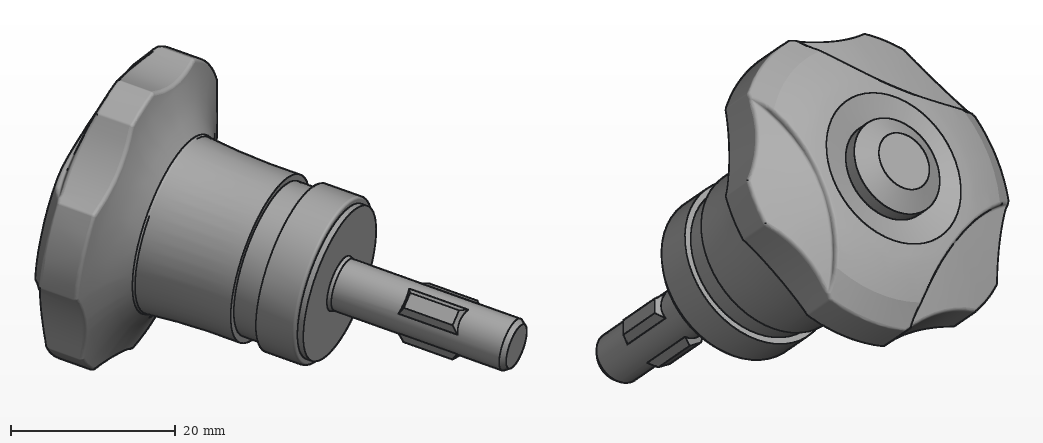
import cadquery as cq
import math


shaft_radius = 3.35
shaft_length = 23.9
shaft_chamfer_length = 0.7
shaft_chamfer_depth = 0.5
root_flare_length = 0.5
root_flare_height = 0.2

lip_radius = 10.0
lip_length = 0.8
collar_radius = 10.85
collar_length = 5.2
collar_fillet = 0.35
groove_radius = 10.0
groove_length = 3.4
sleeve_length = 12.85
sleeve_end_radius = 10.85
sleeve_root_radius = 11.4
sleeve_root_fillet = 0.4
sleeve_waist_radius = 10.9

knob_radius = 20.0
rim_width = 5.0
rear_rise = 3.65
rear_mid_offset = 2.25
rear_mid_radius = 15.4
face_to_rim = 3.6
face_radius = 10.0
dome_seam_radius = 17.0
dome_seam_depth = 1.65
dome_mid_radius = 13.8
dome_mid_depth = 0.6

button_radius = 6.35
button_tip_radius = 3.75
button_rise = 2.2
button_chamfer_length = 1.5
recess_depth = 1.1

lobe_count = 3
narrow_lobe_angle = 3.75
flute_offset_angle = 26.0
flute_half_angle = 17.5
flute_sag = 0.85
grip_fillet = 0.5
scallop_foot_fillet = 0.3
wall_foot_min_length = 25.0
scallop_wall_radius = 31.6
scallop_wall_distance = 11.7
scallop_inner_radius = 10.5
scallop_inner_depth = 0.3
scallop_mid_radius = 15.5
scallop_mid_depth = 1.95
scallop_outer_radius = 20.5
scallop_outer_depth = 3.85

key_count = 3
key_angle = 29.0
key_center_x = 13.35
key_top_length = 6.6
key_top_width = 2.0
key_flank_offset = 0.7
key_flank_height = 1.1
key_top_distance = 4.0

collar_end_x = -lip_length
groove_end_x = collar_end_x - collar_length
sleeve_end_x = groove_end_x - groove_length
sleeve_root_x = sleeve_end_x - sleeve_length
rim_rear_x = sleeve_root_x - rear_rise
rim_front_x = rim_rear_x - rim_width
face_x = rim_front_x - face_to_rim
tip_x = face_x - button_rise
cutter_front_x = tip_x - 1.0


def around_axis(shape, angle):
    """Turn a shape made about +Z around the X axis, from +Z towards -Y."""
    return shape.rotate((0, 0, 0), (1, 0, 0), angle)


def revolve_about_axis(profile):
    """Full turn about X, with the seam placed at -Z, clear of the scallops."""
    return around_axis(profile.revolve(360, (0, 0, 0), (1, 0, 0)), -90)


def make_knob():
    profile = (
        cq.Workplane("XY")
        .moveTo(sleeve_root_x, 0)
        .lineTo(sleeve_root_x, sleeve_root_radius)
        .threePointArc(
            (sleeve_root_x - rear_mid_offset, rear_mid_radius), (rim_rear_x, knob_radius)
        )
        .lineTo(rim_front_x, knob_radius)
        .lineTo(face_x + dome_seam_depth, dome_seam_radius)
        .threePointArc((face_x + dome_mid_depth, dome_mid_radius), (face_x, face_radius))
        .lineTo(face_x, 0)
        .close()
    )
    return revolve_about_axis(profile)


def make_scallop_cutter():
    """Round plug over a narrow lobe, with a domed floor turned about the knob axis."""
    floor_profile = (
        cq.Workplane("XY")
        .moveTo(cutter_front_x, 0)
        .lineTo(face_x + scallop_inner_depth, 0)
        .lineTo(face_x + scallop_inner_depth, scallop_inner_radius)
        .threePointArc(
            (face_x + scallop_mid_depth, scallop_mid_radius),
            (face_x + scallop_outer_depth, scallop_outer_radius),
        )
        .lineTo(cutter_front_x, scallop_outer_radius)
        .close()
    )
    floor_body = revolve_about_axis(floor_profile)
    plug = (
        cq.Workplane("YZ", origin=(cutter_front_x, 0, 0))
        .center(0, scallop_wall_distance + scallop_wall_radius)
        .circle(scallop_wall_radius)
        .extrude(rim_rear_x - cutter_front_x)
    )
    return floor_body.intersect(plug)


def make_flute_cutter():
    half_chord = knob_radius * math.sin(math.radians(flute_half_angle))
    chord_distance = knob_radius * math.cos(math.radians(flute_half_angle))
    flute_radius = (half_chord**2 + flute_sag**2) / (2 * flute_sag)
    center_distance = chord_distance - flute_sag + flute_radius
    return (
        cq.Workplane("YZ", origin=(tip_x, 0, 0))
        .center(0, center_distance)
        .circle(flute_radius)
        .extrude(sleeve_root_x - tip_x)
    )


def cut_grip(knob):
    scallop = make_scallop_cutter()
    flute = make_flute_cutter()
    for index in range(lobe_count):
        lobe_angle = narrow_lobe_angle + index * 360 / lobe_count
        knob = knob.cut(around_axis(scallop, lobe_angle))
    for index in range(lobe_count):
        lobe_angle = narrow_lobe_angle + index * 360 / lobe_count
        for side in (-1, 1):
            knob = knob.cut(around_axis(flute, lobe_angle + side * flute_offset_angle))
    return knob


def fillet_grip_edges(knob):
    """Round the foot of each scallop wall, then every other edge of the rim, flutes and walls.

    These are the only cylinders on the knob, and the wall feet are by far their longest edges.
    """

    def is_wall_foot(edge):
        return edge.Length() > wall_foot_min_length

    def is_outer_edge(edge):
        return not is_wall_foot(edge)

    knob = knob.faces("%CYLINDER").edges().filter(is_wall_foot).fillet(scallop_foot_fillet)
    return knob.faces("%CYLINDER").edges().filter(is_outer_edge).fillet(grip_fillet)


def cut_recess(knob):
    profile = (
        cq.Workplane("XY")
        .moveTo(face_x, 0)
        .lineTo(face_x, face_radius)
        .lineTo(face_x + recess_depth, button_radius)
        .lineTo(face_x + recess_depth, 0)
        .close()
    )
    return knob.cut(revolve_about_axis(profile))


def make_button():
    profile = (
        cq.Workplane("XY")
        .moveTo(sleeve_root_x, 0)
        .lineTo(sleeve_root_x, button_radius)
        .lineTo(tip_x + button_chamfer_length, button_radius)
        .lineTo(tip_x, button_tip_radius)
        .lineTo(tip_x, 0)
        .close()
    )
    return revolve_about_axis(profile)


def make_body():
    """Sleeve, groove, collar and lip between the knob and the shaft."""
    sleeve_mid_x = (sleeve_root_x + sleeve_end_x) / 2
    profile = (
        cq.Workplane("XY")
        .moveTo(sleeve_root_x, 0)
        .lineTo(sleeve_root_x, sleeve_root_radius)
        .threePointArc((sleeve_mid_x, sleeve_waist_radius), (sleeve_end_x, sleeve_end_radius))
        .lineTo(sleeve_end_x, groove_radius)
        .lineTo(groove_end_x, groove_radius)
        .lineTo(groove_end_x, collar_radius)
        .lineTo(collar_end_x - collar_fillet, collar_radius)
        .radiusArc((collar_end_x, collar_radius - collar_fillet), collar_fillet)
        .lineTo(collar_end_x, lip_radius)
        .lineTo(0, lip_radius)
        .lineTo(0, 0)
        .close()
    )
    return revolve_about_axis(profile)


def fillet_sleeve_root(part):
    """Round the concave circle where the sleeve meets the rear of the knob."""
    span = sleeve_root_fillet / 2
    root_circle = cq.selectors.BoxSelector(
        (sleeve_root_x - span, -span, -span), (sleeve_root_x + span, span, span)
    )
    return part.edges(root_circle).fillet(sleeve_root_fillet)


def make_shaft():
    profile = (
        cq.Workplane("XY")
        .lineTo(0, shaft_radius + root_flare_height)
        .lineTo(root_flare_length, shaft_radius)
        .lineTo(shaft_length - shaft_chamfer_length, shaft_radius)
        .lineTo(shaft_length, shaft_radius - shaft_chamfer_depth)
        .lineTo(shaft_length, 0)
        .close()
    )
    return revolve_about_axis(profile)


def make_key():
    """Block with four sloping flanks that stands on the shaft at +Z."""
    return (
        cq.Workplane("XY", origin=(key_center_x, 0, key_top_distance - key_flank_height))
        .rect(key_top_length + 2 * key_flank_offset, key_top_width + 2 * key_flank_offset)
        .workplane(offset=key_flank_height)
        .rect(key_top_length, key_top_width)
        .loft(ruled=True)
    )


def add_keys(part):
    key = make_key()
    for index in range(key_count):
        part = part.union(around_axis(key, key_angle + index * 360 / key_count))
    return part


knob = cut_recess(fillet_grip_edges(cut_grip(make_knob())))
grip = fillet_sleeve_root(knob.union(make_body())).union(make_button())
result = add_keys(grip.union(make_shaft()))